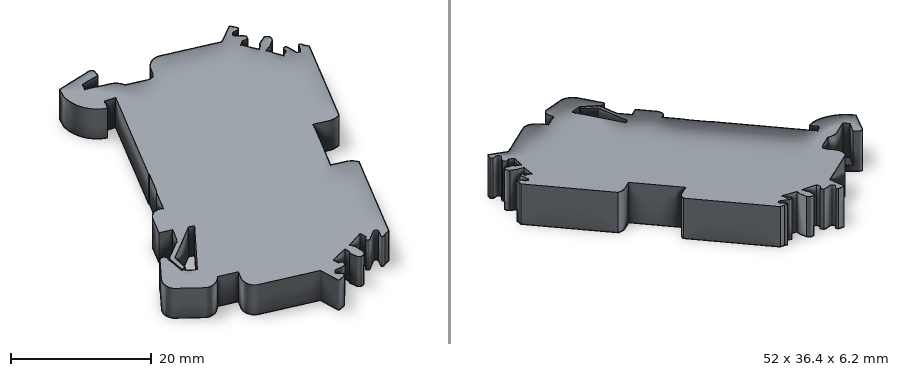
import cadquery as cq

thickness = 6.2
half_length = 26.0
half_height = 18.2
body_half_width = 23.45
body_bottom = -4.65
body_corner_radius = 2.05
body_side_top = 6.35

notch_half_width = 4.15
notch_flare = 0.6
notch_floor = 14.15
notch_flare_start = 16.5

base_left = -19.5
base_right = 20.25
base_bottom = -11.1
base_root_radius = 1.0

foot_wall = -20.35
foot_wall_top = -9.05
foot_wall_bend = -11.0
foot_inner = -17.5
foot_ledge = -12.8
pocket_floor_thickness = 1.0
pocket_bottom = -14.8
pocket_lip_top = (-22.4, -12.15)
pocket_lip_bottom = (-21.35, pocket_bottom)

stop_left = 5.2
stop_right = 9.55
stop_bottom = -13.1
stop_corner_radius = 1.4

groove_mouth = 3.9
groove_floor = 3.3
groove_depth = 0.1


def right_half_of_body():
    """Right half of the symmetrical body, with its notched shoulder."""
    outline = (
        cq.Workplane("XY")
        .moveTo(0, body_bottom)
        .lineTo(0, notch_floor)
        .lineTo(notch_half_width, notch_floor)
        .lineTo(notch_half_width, notch_flare_start)
        .tangentArcPoint((notch_half_width + notch_flare, half_height), relative=False)
    )
    outline = (
        outline.lineTo(18.95, half_height)
        .lineTo(19.4, 17.45)
        .lineTo(19.65, 17.25)
        .threePointArc((19.7, 16.95), (19.5, 16.8))
        .lineTo(18.55, 16.8)
        .threePointArc((18.25, 16.5), (18.35, 16.05))
        .lineTo(19.65, 15.2)
        .threePointArc((19.8, 14.8), (19.35, 14.55))
        .lineTo(19.1, 14.75)
        .lineTo(18.25, 14.15)
    )
    outline = (
        outline.lineTo(19.9, 12.05)
        .lineTo(20.55, 12.8)
        .lineTo(21.65, 13.5)
        .threePointArc((22.4, 13.25), (22.4, 12.45))
        .lineTo(21.4, 11.55)
        .lineTo(21.2, 11.65)
        .lineTo(20.5, 11.2)
    )
    outline = (
        outline.lineTo(22.05, 8.95)
        .lineTo(22.8, 9.45)
        .lineTo(22.85, 10.25)
        .lineTo(23.45, 10.25)
        .lineTo(23.65, 9.9)
        .lineTo(23.9, 8.95)
        .threePointArc((24.4, 8.5), (24.8, 8.85))
        .lineTo(25.0, 9.55)
        .lineTo(25.45, 9.55)
        .lineTo(25.95, 8.75)
        .threePointArc((half_length, 8.6), (25.9, 8.35))
        .lineTo(23.6, 6.7)
        .tangentArcPoint((body_half_width, body_side_top), relative=False)
    )
    outline = (
        outline.lineTo(body_half_width, body_bottom + body_corner_radius)
        .tangentArcPoint((body_half_width - body_corner_radius, body_bottom), relative=False)
        .close()
    )
    return outline.extrude(thickness)


def base_with_foot_and_hook():
    """Rail base: fixed foot on the left, stop block, and sprung hook on the right."""
    outline = (
        cq.Workplane("XY")
        .moveTo(foot_wall, pocket_bottom)
        .lineTo(foot_wall, foot_wall_bend)
        .tangentArcPoint((base_left, foot_wall_top), relative=False)
        .lineTo(base_left, body_bottom - base_root_radius)
        .tangentArcPoint((base_left - base_root_radius, body_bottom), relative=False)
        .lineTo(base_left - base_root_radius, 0)
        .lineTo(base_right, 0)
        .lineTo(base_right, -7.75)
    )
    outline = (
        outline.threePointArc((21.5, -8.6), (21.85, -9.85))
        .lineTo(20.6, -14.3)
        .threePointArc((19.7, -15.3), (18.25, -15.45))
        .lineTo(15.0, -14.6)
        .threePointArc((14.3, -13.95), (14.65, -13.45))
    )
    outline = (
        outline.lineTo(17.5, -12.2)
        .lineTo(18.05, -10.35)
        .threePointArc((17.95, -10.05), (17.5, -9.9))
        .lineTo(9.8, -7.85)
        .lineTo(9.7, -8.75)
    )
    outline = (
        outline.lineTo(14.8, -12.3)
        .lineTo(15.25, -12.25)
        .lineTo(17.15, -11.55)
        .lineTo(17.35, -12.1)
        .lineTo(15.05, -13.15)
        .lineTo(14.65, -13.1)
        .lineTo(11.8, base_bottom)
    )
    outline = (
        outline.lineTo(stop_right, base_bottom)
        .lineTo(stop_right, stop_bottom)
        .lineTo(stop_left + stop_corner_radius, stop_bottom)
        .tangentArcPoint((stop_left, stop_bottom + stop_corner_radius), relative=False)
        .lineTo(stop_left, base_bottom)
    )
    outline = (
        outline.lineTo(groove_mouth / 2, base_bottom)
        .lineTo(groove_floor / 2, base_bottom + groove_depth)
        .lineTo(-groove_floor / 2, base_bottom + groove_depth)
        .lineTo(-groove_mouth / 2, base_bottom)
    )
    outline = (
        outline.lineTo(foot_inner, base_bottom)
        .lineTo(-17.3, foot_ledge)
        .lineTo(-15.9, foot_ledge)
        .threePointArc((-17.0, -15.95), (-19.4, -17.9))
        .threePointArc((-19.75, -18.05), (-20.2, -18.1))
        .lineTo(-21.4, -half_height)
    )
    outline = (
        outline.lineTo(-23.6, -13.1)
        .threePointArc((-23.55, -12.65), (-23.2, -12.4))
        .lineTo(*pocket_lip_top)
        .lineTo(*pocket_lip_bottom)
        .close()
    )
    return outline.extrude(thickness)


def foot_pocket_floor():
    """Thin web that closes the bottom of the foot pocket."""
    corners = [
        (foot_wall, -11.55),
        (foot_wall, pocket_bottom),
        pocket_lip_bottom,
        pocket_lip_top,
    ]
    return cq.Workplane("XY").polyline(corners).close().extrude(pocket_floor_thickness)


right_half = right_half_of_body()
body = right_half.union(right_half.mirror("YZ"))
result = body.union(base_with_foot_and_hook()).union(foot_pocket_floor()).clean()